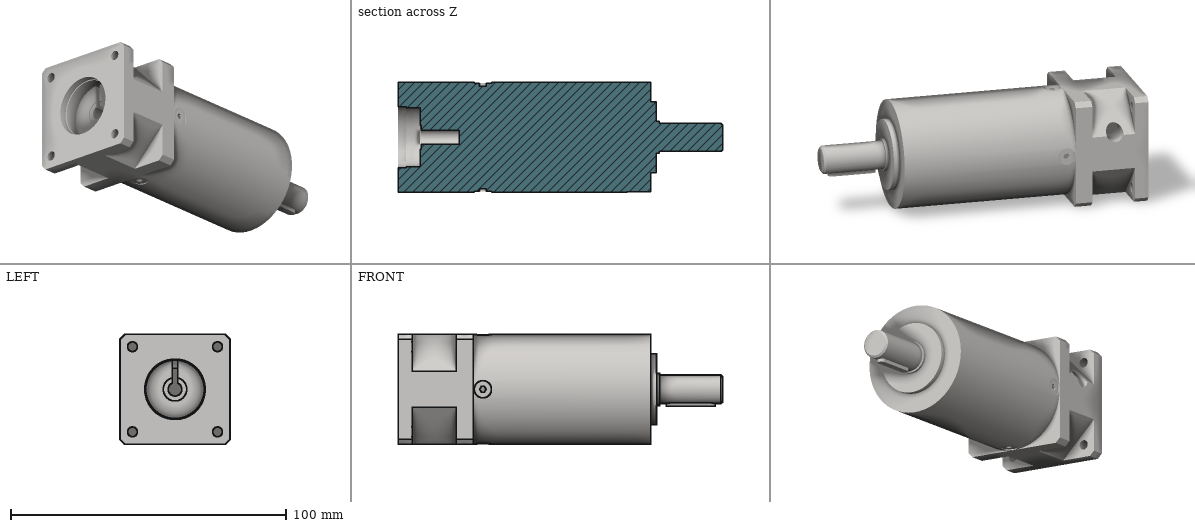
import cadquery as cq

total_length = 118.0
body_size = 40.0
half_size = body_size / 2

adapter_length = 27.4
front_flange = 5.1
rear_flange = 6.3
corner_chamfer = 1.8
notch_reach = 6.5
bolt_offset = 15.5
bolt_diameter = 3.5

pilot_diameter = 22.0
pilot_depth = 2.8
bore_diameter = 21.2
hub_depth = 8.0
hub_ring_diameter = 8.5
hub_ring_depth = 0.2
motor_shaft_diameter = 5.0
motor_shaft_depth = 14.2
slot_width = 1.9
slot_step_height = 7.7
slot_shallow_depth = 3.0

access_x = 12.5
access_z = 7.2
access_diameter = 6.4

body_end = 91.8
output_pilot_end = 93.9
output_pilot_diameter = 26.0
collar_end = 95.0
collar_diameter = 11.8
shaft_diameter = 10.4
shaft_chamfer = 0.7

screw_x = 30.8
screw_diameter = 6.3
screw_sink = 0.4
socket_size = 2.4
socket_depth = 1.0

key_start = 97.4
key_length = 17.9
key_width = 3.0
key_bottom = 6.3
key_height = 3.0


def disc(start, end, diameter):
    """Cylinder on the main axis between two X positions."""
    return cq.Workplane("YZ", origin=(start, 0, 0)).circle(diameter / 2).extrude(end - start)


def make_adapter():
    """Square block with bevelled corners, a diagonal notch behind each and four bolt holes."""
    adapter = cq.Workplane("YZ").rect(body_size, body_size).extrude(adapter_length)
    adapter = adapter.edges("|X").chamfer(corner_chamfer)
    notch_length = adapter_length - front_flange - rear_flange
    for side in (1, -1):
        for level in (1, -1):
            notch = (
                cq.Workplane("YZ", origin=(front_flange, 0, 0))
                .moveTo(side * half_size, level * notch_reach)
                .lineTo(side * half_size, level * half_size)
                .lineTo(side * notch_reach, level * half_size)
                .close()
                .extrude(notch_length)
            )
            adapter = adapter.cut(notch)
    bolt_holes = (
        cq.Workplane("YZ")
        .rect(2 * bolt_offset, 2 * bolt_offset, forConstruction=True)
        .vertices()
        .circle(bolt_diameter / 2)
        .extrude(front_flange)
    )
    return adapter.cut(bolt_holes)


def make_gearbox():
    """Round body followed by the output pilot, collar and chamfered shaft."""
    body = disc(adapter_length, body_end, body_size)
    output_pilot = disc(body_end, output_pilot_end, output_pilot_diameter)
    collar = disc(output_pilot_end, collar_end, collar_diameter)
    shaft = disc(collar_end, total_length, shaft_diameter).faces(">X").chamfer(shaft_chamfer)
    return body.union(output_pilot).union(collar).union(shaft)


def make_key():
    """Round-ended key on the -Z side of the shaft."""
    return (
        cq.Workplane("XY", origin=(key_start + key_length / 2, 0, -key_bottom))
        .slot2D(key_length, key_width)
        .extrude(key_height)
    )


def make_slot(depth, height):
    """Radial slot that starts at the hub face and rises from the main axis."""
    return cq.Workplane("XY", origin=(hub_depth, 0, 0)).box(
        depth, slot_width, height, centered=(False, True, False)
    )


def make_motor_bore():
    """Stepped bore, hub hole and clamping slot that open at the motor face."""
    bore = disc(0, pilot_depth, pilot_diameter)
    bore = bore.union(disc(0, hub_depth, bore_diameter))
    bore = bore.union(disc(0, hub_depth + hub_ring_depth, hub_ring_diameter))
    bore = bore.union(disc(0, hub_depth + motor_shaft_depth, motor_shaft_diameter))
    slot = make_slot(motor_shaft_depth, slot_step_height).union(make_slot(slot_shallow_depth, half_size))
    slot = slot.intersect(disc(hub_depth, hub_depth + motor_shaft_depth, bore_diameter))
    return bore.union(slot)


def make_access_hole():
    """Blind hole from the +Y side, as deep as the wall around the bore is thick."""
    return (
        cq.Workplane("XZ", origin=(access_x, half_size, access_z))
        .circle(access_diameter / 2)
        .extrude((body_size - bore_diameter) / 2)
    )


def make_screw_recess(angle):
    """Flat sunk screw head with a hexagon socket, turned about the main axis."""
    seat = half_size - screw_sink
    seat_plane = cq.Workplane("XY", origin=(screw_x, 0, seat))
    head = seat_plane.circle(screw_diameter / 2).extrude(screw_sink)
    socket = seat_plane.polygon(6, socket_size).extrude(-socket_depth)
    return head.union(socket).rotate((0, 0, 0), (1, 0, 0), angle)


result = make_adapter().union(make_gearbox()).union(make_key())
result = result.cut(make_motor_bore()).cut(make_access_hole())
for quarter in range(4):
    result = result.cut(make_screw_recess(90 * quarter))